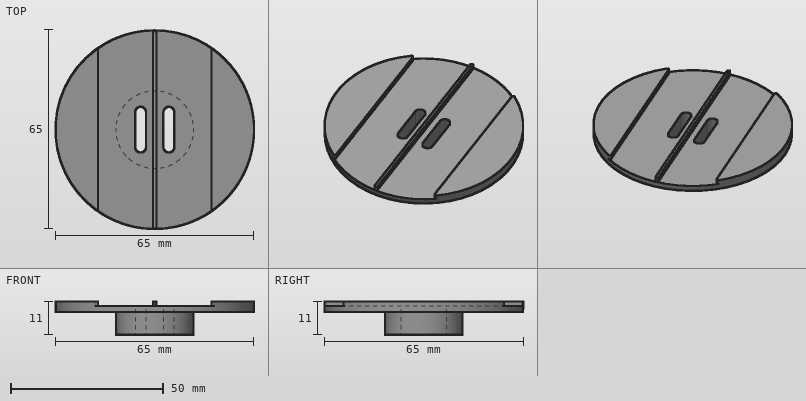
import cadquery as cq

plate_diameter = 65.0
base_thickness = 2.0
raised_height = 1.5

boss_diameter = 25.4
boss_height = 7.5

channel_width = 37.05
pad_tip_radius = 0.5
rib_width = 1.05

slot_spacing = 9.2
slot_length = 14.9
slot_width = 3.5

total_height = boss_height + base_thickness + raised_height
base_top = boss_height + base_thickness


def make_body():
    boss = cq.Workplane("XY").circle(boss_diameter / 2).extrude(boss_height)
    base = (
        cq.Workplane("XY", origin=(0, 0, boss_height))
        .circle(plate_diameter / 2)
        .extrude(base_thickness)
    )
    return boss.union(base)


def make_side_pads():
    """Raised circle segments on both sides of the channel, with rounded tips."""
    disc = (
        cq.Workplane("XY", origin=(0, 0, base_top))
        .circle(plate_diameter / 2)
        .extrude(raised_height)
    )
    channel = (
        cq.Workplane("XY", origin=(0, 0, base_top))
        .rect(channel_width, 2 * plate_diameter)
        .extrude(raised_height)
    )
    pads = disc.cut(channel)
    tip_edges = cq.selectors.BoxSelector(
        (-channel_width / 2 - pad_tip_radius, -plate_diameter, base_top),
        (channel_width / 2 + pad_tip_radius, plate_diameter, total_height),
    )
    return pads.edges("|Z").edges(tip_edges).fillet(pad_tip_radius)


def make_rib():
    """Full-length rib along Y with round ends."""
    return (
        cq.Workplane("XY", origin=(0, 0, base_top))
        .slot2D(plate_diameter, rib_width, 90)
        .extrude(raised_height)
    )


def make_slots():
    return (
        cq.Workplane("XY")
        .pushPoints([(side * slot_spacing / 2, 0) for side in (-1, 1)])
        .slot2D(slot_length, slot_width, 90)
        .extrude(total_height)
    )


result = make_body().union(make_side_pads()).union(make_rib()).cut(make_slots())